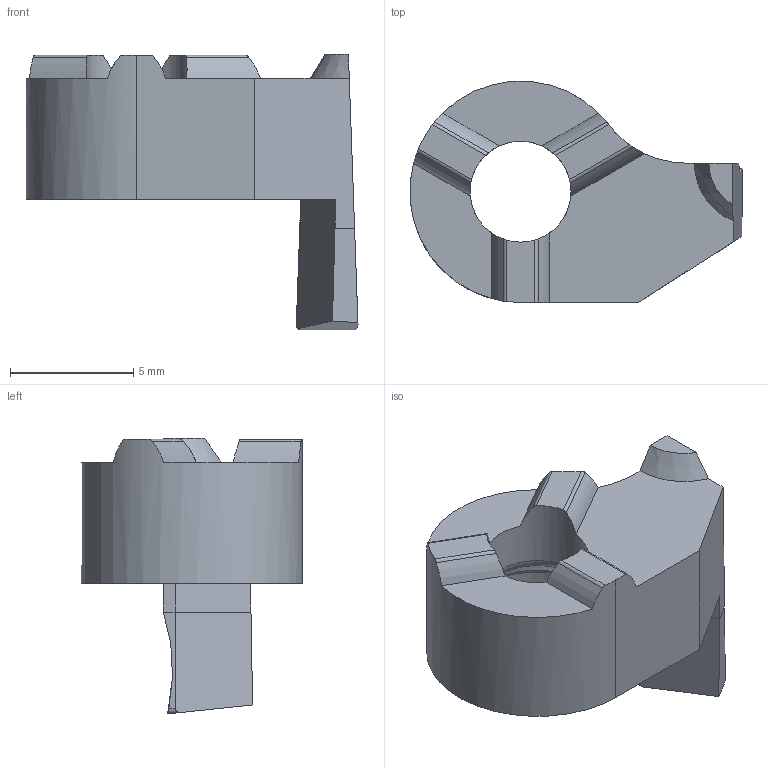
import cadquery as cq
import math

hub_radius = 4.495
body_height = 4.92
neck_side_y = 1.157
neck_fillet_radius = 4.0
flank_corner_x = 4.80
flank_slope = math.tan(math.radians(32.7))

draft = math.tan(math.radians(2.03))
end_x_at_base = 8.815
outline_end_x = 10.0

bore_radius = 2.05
counterbore_radius = 3.0
seat_top_z = 3.12
seat_lip_radius = 0.5
seat_root_radius = 0.2
seat_angle = math.radians(45)

rib_height = 0.935
rib_base_half_width = 1.18
rib_shoulder_half_width = 0.71
rib_crest_half_width = 0.57
rib_shoulder_drop = 0.09
rib_flank_bulge = 0.05
rib_shoulder_bulge = 0.02
rib_angles = (-90, 30, 150)

nub_height = 0.98
nub_center_x = 9.59
nub_base_radius = 2.53
nub_top_radius = 1.94

split_z = -1.17
blade_inner_x = 6.67
land_edge_y = 0.68
clearance_slope = 0.465
rake_depth = 0.377
rake_low_z = -3.55
cutting_edge_z = -5.3
relief_slope = math.tan(math.radians(6))
corner_radius = 0.2

nub_top_z = body_height + nub_height
rake_radius = ((split_z - rake_low_z) ** 2 + rake_depth ** 2) / (2 * rake_depth)


def rake_y(z):
    """Y of the hollow rake face at height z."""
    center_y = neck_side_y - rake_depth + rake_radius
    return center_y - math.sqrt(rake_radius ** 2 - (z - rake_low_z) ** 2)


def end_x(z):
    """X of the drafted end face at height z."""
    return end_x_at_base - draft * z


def inner_x(z):
    """X of the drafted -X side of the blade at height z."""
    return blade_inner_x + draft * z


edge_y = rake_y(cutting_edge_z)

neck_center_y = neck_side_y + neck_fillet_radius
neck_center_distance = hub_radius + neck_fillet_radius
neck_center_x = math.sqrt(neck_center_distance ** 2 - neck_center_y ** 2)
neck_angle = math.atan2(neck_center_y, neck_center_x)
neck_start = (hub_radius * math.cos(neck_angle), hub_radius * math.sin(neck_angle))
neck_mid_angle = (neck_angle - math.pi - math.pi / 2) / 2
neck_mid = (
    neck_center_x + neck_fillet_radius * math.cos(neck_mid_angle),
    neck_center_y + neck_fillet_radius * math.sin(neck_mid_angle),
)


def envelope():
    """Outline of the whole part in plan, cut off by the drafted end face."""
    height = nub_top_z - cutting_edge_z
    flank_end_y = -hub_radius + flank_slope * (outline_end_x - flank_corner_x)
    outline = (
        cq.Workplane("XY", origin=(0, 0, cutting_edge_z))
        .moveTo(0, -hub_radius)
        .lineTo(flank_corner_x, -hub_radius)
        .lineTo(outline_end_x, flank_end_y)
        .lineTo(outline_end_x, neck_side_y)
        .lineTo(neck_center_x, neck_side_y)
        .threePointArc(neck_mid, neck_start)
        .threePointArc((-hub_radius, 0), (0, -hub_radius))
        .close()
        .extrude(height)
    )
    drafted_end = (
        cq.Workplane("XZ")
        .moveTo(-hub_radius, cutting_edge_z)
        .lineTo(end_x(cutting_edge_z), cutting_edge_z)
        .lineTo(end_x(nub_top_z), nub_top_z)
        .lineTo(-hub_radius, nub_top_z)
        .close()
        .extrude(hub_radius, both=True)
    )
    return outline.intersect(drafted_end)


def rib(angle):
    """Radial rib, running outward from the hub axis at the given angle."""
    crest_z = body_height + rib_height
    shoulder_z = crest_z - rib_shoulder_drop
    return (
        cq.Workplane("YZ")
        .moveTo(-rib_base_half_width, 0)
        .lineTo(rib_base_half_width, 0)
        .lineTo(rib_base_half_width, body_height)
        .sagittaArc((rib_shoulder_half_width, shoulder_z), -rib_flank_bulge)
        .sagittaArc((rib_crest_half_width, crest_z), -rib_shoulder_bulge)
        .lineTo(-rib_crest_half_width, crest_z)
        .sagittaArc((-rib_shoulder_half_width, shoulder_z), -rib_shoulder_bulge)
        .sagittaArc((-rib_base_half_width, body_height), -rib_flank_bulge)
        .close()
        .extrude(2 * hub_radius)
        .rotate((0, 0, 0), (0, 0, 1), angle)
    )


def nub():
    return (
        cq.Workplane("XY", origin=(nub_center_x, neck_side_y, body_height))
        .circle(nub_base_radius)
        .workplane(offset=nub_height)
        .circle(nub_top_radius)
        .loft()
    )


def seated_bore():
    arc_width = 1 - math.cos(seat_angle)
    arc_height = math.sin(seat_angle)
    cone_top_radius = bore_radius + seat_lip_radius * arc_width
    cone_top_z = seat_top_z - seat_lip_radius * arc_height
    cone_bottom_radius = counterbore_radius - seat_root_radius * arc_width
    cone_bottom_z = cone_top_z - (cone_bottom_radius - cone_top_radius) / math.tan(seat_angle)
    counterbore_z = cone_bottom_z - seat_root_radius * arc_height
    return (
        cq.Workplane("XZ")
        .moveTo(0, 0)
        .lineTo(counterbore_radius, 0)
        .lineTo(counterbore_radius, counterbore_z)
        .tangentArcPoint((cone_bottom_radius, cone_bottom_z), relative=False)
        .lineTo(cone_top_radius, cone_top_z)
        .tangentArcPoint((bore_radius, seat_top_z), relative=False)
        .lineTo(bore_radius, nub_top_z)
        .lineTo(0, nub_top_z)
        .close()
        .revolve(360, (0, 0), (0, 1))
    )


def blade_section(z):
    side_x = inner_x(z)
    clearance_end_x = side_x + clearance_slope * (land_edge_y + hub_radius)
    return [
        (side_x, neck_side_y),
        (side_x, land_edge_y),
        (clearance_end_x, -hub_radius),
        (outline_end_x, -hub_radius),
        (outline_end_x, neck_side_y),
    ]


def blade(top_z, bottom_z):
    return (
        cq.Workplane("XY", origin=(0, 0, top_z))
        .polyline(blade_section(top_z))
        .close()
        .workplane(offset=bottom_z - top_z)
        .polyline(blade_section(bottom_z))
        .close()
        .loft(ruled=True)
    )


def make_holder():
    plate_size = 4 * outline_end_x
    plate = cq.Workplane("XY").box(plate_size, plate_size, body_height, centered=(True, True, False))
    shape = plate.union(nub()).union(blade(0, split_z))
    for angle in rib_angles:
        shape = shape.union(rib(angle))
    return shape.intersect(envelope()).cut(seated_bore())


def side_profile():
    """Hollow rake face toward +Y and bottom rising toward -Y."""
    heel_z = cutting_edge_z + relief_slope * (edge_y + hub_radius)
    return (
        cq.Workplane("YZ")
        .moveTo(neck_side_y, split_z)
        .threePointArc((neck_side_y - rake_depth, rake_low_z), (edge_y, cutting_edge_z))
        .lineTo(-hub_radius, heel_z)
        .lineTo(-hub_radius, split_z)
        .close()
        .extrude(outline_end_x)
    )


def front_profile():
    """Drafted sides meeting the cutting edge in rounded corners."""
    return (
        cq.Workplane("XZ")
        .moveTo(inner_x(cutting_edge_z), cutting_edge_z)
        .lineTo(end_x(cutting_edge_z), cutting_edge_z)
        .lineTo(end_x(split_z), split_z)
        .lineTo(inner_x(split_z), split_z)
        .close()
        .extrude(2 * hub_radius, both=True)
        .edges("|Y and <Z")
        .fillet(corner_radius)
    )


def make_cutting_tip():
    tip = blade(split_z, cutting_edge_z).intersect(envelope())
    return tip.intersect(side_profile()).intersect(front_profile())


holder = make_holder()
cutting_tip = make_cutting_tip()
result = cq.Compound.makeCompound([holder.val(), cutting_tip.val()])